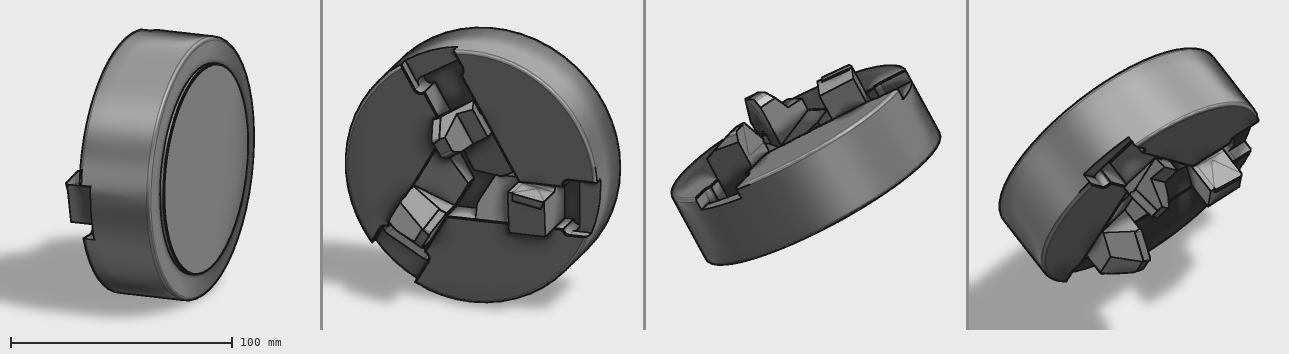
import cadquery as cq
import math


body_diameter = 120.0
body_thickness = 35.0
body_edge_radius = 1.5
spigot_diameter = 96.0
spigot_height = 2.0
spigot_chamfer = 0.5

jaw_count = 3
jaw_pitch = 360.0 / jaw_count
jaw_width = 20.0
slot_depth = 15.0
slot_edge_chamfer = 0.5
channel_depth = 6.0
channel_upper_lip = 3.6
channel_lower_lip = 2.4
channel_width = channel_upper_lip + jaw_width + channel_lower_lip
relief_width = 6.0
relief_center_radius = 47.0

block_length = 17.3
tail_length = 20.2
tail_corner_width = 12.7
tail_corner_angle = 30.0
tail_corner_length = tail_corner_width * math.tan(math.radians(tail_corner_angle))
tail_slope = 19.0
block_radii = {"facing": 22.6, "chamfering": 14.1, "pointed": 19.5}

insert_side = 16.6
insert_height = insert_side * math.sqrt(3) / 2
insert_corner_radius = 1.0
insert_thickness = 3.8
insert_relief = 9.0

facing_front_high = 14.5
facing_front_low = 12.3
seat_start = 2.3
seat_tilt = 10.0
seat_bottom = -1.2
seat_corner_radius = 1.5
facing_edge_height = 15.2

block_height = 17.4
point_height = 18.0
point_position = 7.1
flank_angle = 60.0
flank_relief = insert_relief
flank_setback = 0.55
nose_length = 2.4
nose_drop = 4.4
nose_radius = 2.0
roof_start = 4.3
roof_low_height = 10.6
ledge_height = 6.0
ledge_start = 12.0
shoulder_start = 6.5
overhang_length = 7.1
overhang_gap = 0.7

overrun = 30.0


def box(x_range, y_range, z_range):
    """Axis-aligned box between the given limits."""
    sizes = [high - low for low, high in (x_range, y_range, z_range)]
    corner = (x_range[0], y_range[0], z_range[0])
    return cq.Workplane("XY").box(*sizes, centered=False).translate(corner)


def prism_along_width(points, near=0.0, far=-jaw_width):
    """Prism of an outline in radial position and height, running across the jaw."""
    return cq.Workplane("XZ", origin=(0, near, 0)).polyline(points).close().extrude(near - far)


def prism_along_length(points, length):
    """Prism of an outline in width and height, running radially from 0."""
    return cq.Workplane("YZ").polyline(points).close().extrude(length)


def make_slot():
    """One slot: deep jaw way, rounded cross relief at its end, and shallow channel to the rim."""
    way_start = jaw_width / math.tan(math.radians(jaw_pitch))
    way = box((way_start, relief_center_radius), (-jaw_width, 0), (-slot_depth, 0))
    relief = (
        cq.Workplane("XY")
        .center(relief_center_radius, channel_upper_lip - channel_width / 2)
        .slot2D(channel_width, relief_width, 90)
        .extrude(-slot_depth)
    )
    channel = box(
        (relief_center_radius, body_diameter),
        (-jaw_width - channel_lower_lip, channel_upper_lip),
        (-channel_depth, 0),
    )
    return way.union(relief).union(channel)


def make_body():
    """Disc with a spigot at its back and the jaw slots cut into its front."""
    disc = cq.Workplane("XY").circle(body_diameter / 2).extrude(-body_thickness)
    rounded_disc = disc.edges().fillet(body_edge_radius)
    spigot = (
        cq.Workplane("XY", origin=(0, 0, -body_thickness))
        .circle(spigot_diameter / 2)
        .extrude(-spigot_height)
        .faces("<Z")
        .chamfer(spigot_chamfer)
    )
    slotted = disc
    for index in range(jaw_count):
        slotted = slotted.cut(make_slot().rotate((0, 0, 0), (0, 0, 1), index * jaw_pitch))
    mouth_edges = [
        edge
        for edge in slotted.faces(">Z").edges().vals()
        if edge.geomType() != "CIRCLE" or edge.radius() < relief_width
    ]
    slotted = slotted.newObject(mouth_edges).chamfer(slot_edge_chamfer)
    return slotted.intersect(rounded_disc).union(spigot)


def make_jaw_base():
    """Jaw bar filling the slot depth, with a sloped tail whose end corner is cut off."""
    tail_end = -tail_length
    bar = (
        cq.Workplane("XY")
        .moveTo(block_length, 0)
        .lineTo(tail_end + tail_corner_length, 0)
        .lineTo(tail_end, -tail_corner_width)
        .lineTo(tail_end, -jaw_width)
        .lineTo(block_length, -jaw_width)
        .close()
        .extrude(-slot_depth)
    )
    tail_drop = jaw_width * math.tan(math.radians(tail_slope))
    slope = prism_along_length([(-jaw_width, 0), (0, 0), (0, -tail_drop)], -tail_length)
    return bar.cut(slope)


def make_insert():
    """Triangular insert, base centered at the origin and apex up, thickness running towards -Y."""
    outline = [(-insert_side / 2, 0), (insert_side / 2, 0), (0, insert_height)]
    blank = prism_along_width(outline).edges("|Y").fillet(insert_corner_radius)
    rake_outline = blank.faces(">Y").wires().val()
    return cq.Workplane("XZ").add(rake_outline).toPending().extrude(insert_thickness, taper=insert_relief)


def seat_insert(jaw, insert):
    """Join the insert to its jaw, keeping its outline in the jaw face that it lies flush with."""
    return jaw.cut(insert).union(insert, clean=False)


def make_facing_jaw():
    """Jaw with a leaning front face and an insert lying along the front edge of a tilted seat."""
    block = prism_along_length(
        [(0, 0), (0, facing_front_high), (-jaw_width, facing_front_low), (-jaw_width, 0)], block_length
    )
    jaw = make_jaw_base().union(block)
    seat = (
        box((0, overrun), (0, overrun), (seat_bottom, overrun))
        .edges("<Y and <Z")
        .fillet(seat_corner_radius)
    )
    insert = (
        make_insert()
        .mirror("XY")
        .translate(((block_length - seat_start) / 2, 0, facing_edge_height))
    )
    seat, insert = [
        shape.rotate((0, 0, 0), (0, 0, 1), -seat_tilt).translate((seat_start, 0, 0))
        for shape in (seat, insert)
    ]
    return seat_insert(jaw.cut(seat), insert)


def make_flank_cutter():
    """Space in front of the relieved flank that runs down from the insert point to the block's side."""
    slope = math.tan(math.radians(flank_angle))
    cutter = prism_along_width(
        [(0, 0), (-overrun, -overrun * slope), (-overrun, overrun), (0, overrun)],
        near=overrun,
        far=-2 * overrun,
    )
    relieved = cutter.rotate((0, 0, 0), (0, 0, 1), flank_relief)
    return relieved.translate((point_position - flank_setback, 0, block_height))


def make_side_cutting_jaw(cross_section, mirrored):
    """Jaw with a block of the given cross-section, a rounded nose, a relieved flank and a standing insert."""
    nose_start = block_length - nose_length
    block = prism_along_width(
        [
            (0, 0),
            (0, block_height),
            (nose_start, block_height),
            (block_length, block_height - nose_drop),
            (block_length, 0),
        ]
    )
    block = block.edges(cq.selectors.NearestToPointSelector((nose_start, -jaw_width / 2, block_height)))
    block = block.fillet(nose_radius)
    block = block.intersect(prism_along_length(cross_section, block_length))
    block = block.cut(make_flank_cutter())
    insert_base = point_height - insert_height + insert_corner_radius
    insert = make_insert().translate((point_position, 0, insert_base))
    if mirrored:
        block = block.mirror("YZ").translate((block_length, 0, 0))
        insert = insert.mirror("YZ").translate((block_length, 0, 0))
    return seat_insert(make_jaw_base().union(block), insert)


def make_pointed_jaw():
    roof = [(0, 0), (0, block_height), (-roof_start, block_height)]
    roof += [(-jaw_width, roof_low_height), (-jaw_width, 0)]
    return make_side_cutting_jaw(roof, mirrored=False)


def make_chamfering_jaw():
    """Mirrored jaw with a stepped roof; its outer end overhangs the slot floor with a small gap."""
    roof = [(0, 0), (0, block_height), (-shoulder_start, block_height), (-ledge_start, ledge_height)]
    roof += [(-jaw_width, ledge_height), (-jaw_width, 0)]
    undercut = box((block_length - overhang_length, overrun), (-jaw_width, 0), (-slot_depth, overhang_gap))
    return make_side_cutting_jaw(roof, mirrored=True).cut(undercut, clean=False)


front_to_minus_x = cq.Location(cq.Plane(origin=(0, 0, 0), xDir=(0, -1, 0), normal=(-1, 0, 0)))


def place_jaw(jaw, block_radius, slot_index):
    """Slide the jaw out to its radius, turn it to its slot and lay the head on its side."""
    seated = jaw.translate((block_radius, 0, 0)).rotate((0, 0, 0), (0, 0, 1), slot_index * jaw_pitch)
    return seated.val().moved(front_to_minus_x)


body = make_body().val().moved(front_to_minus_x)
facing_jaw = place_jaw(make_facing_jaw(), block_radii["facing"], 0)
chamfering_jaw = place_jaw(make_chamfering_jaw(), block_radii["chamfering"], 1)
pointed_jaw = place_jaw(make_pointed_jaw(), block_radii["pointed"], 2)

result = cq.Compound.makeCompound([body, facing_jaw, chamfering_jaw, pointed_jaw])